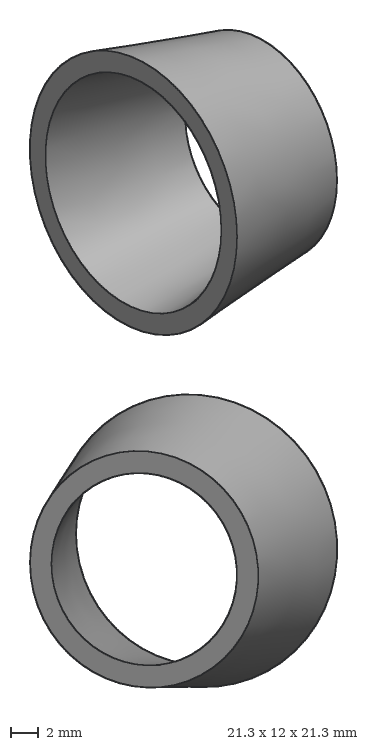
import cadquery as cq
import math

length = 12.0
large_diameter = 21.3
small_diameter = 17.2
wall = 1.6

large_radius = large_diameter / 2
small_radius = small_diameter / 2
half_angle = math.atan((large_radius - small_radius) / length)
rim_width = wall / math.cos(half_angle)

wall_section = (
    cq.Workplane("XY")
    .moveTo(large_radius - rim_width, 0)
    .lineTo(large_radius, 0)
    .lineTo(small_radius, length)
    .lineTo(small_radius - rim_width, length)
    .close()
)

axis_start = (0, 0, 0)
axis_end = (0, length, 0)
result = wall_section.revolve(360, axis_start, axis_end)